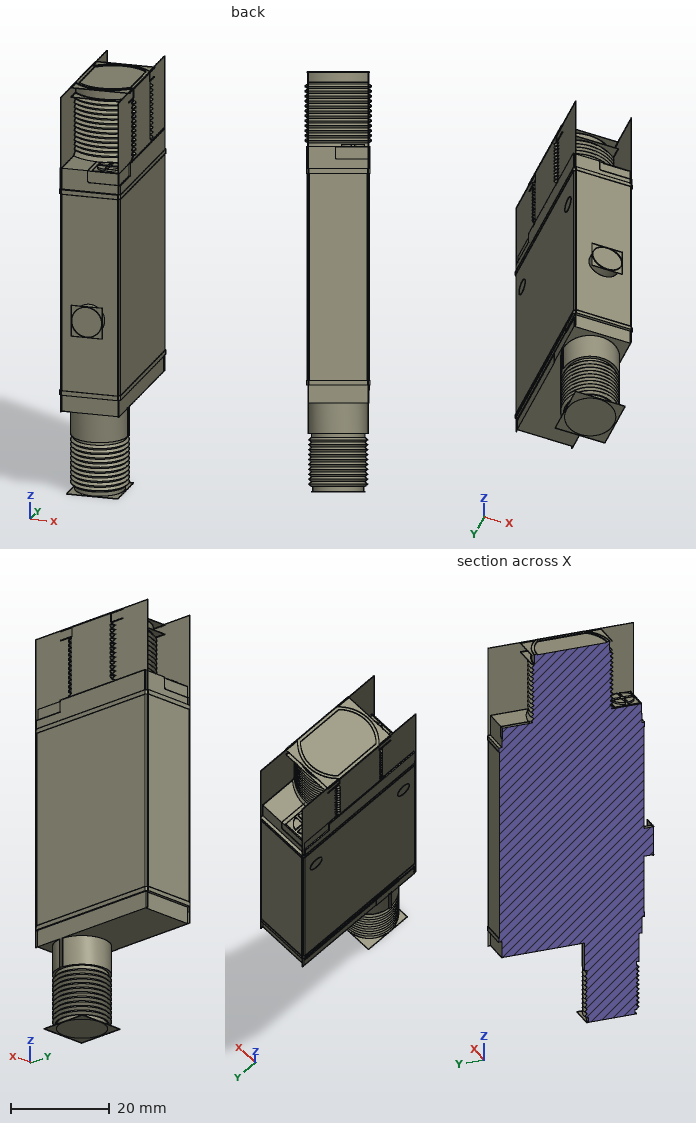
import cadquery as cq
import math


overall_width = 13.43
overall_height = 85.27

shell_width = 12.96
shell_back = 16.05
shell_front = -15.9
shell_bottom = 3.6
shell_top = 47.5
shell_edge_chamfer = 0.5
band_height = 0.95
band_relief = 0.1
upper_cap_top = 51.95
upper_cap_width = 12.84
cap_half_depth = 15.35
lower_cap_width = 12.3

sheet = 0.1
plate_outer_x = 6.15
plate_back = 15.93
plate_top = 67.21
top_flange_half_width = 6.3
flange_half_depth = 8.8

barrel_major_radius = 9.0
barrel_root_radius = 8.4
barrel_head_radius = 8.27
barrel_base_radius = 9.3
barrel_flat_x = 6.2
barrel_thread_start = 52.7
barrel_thread_end = 65.0
thread_pitch = 1.0
nub_outer_x = overall_width / 2
nub_inner_y = 5.75
lens_radius = 7.65
lens_half_width = 5.45
lens_recess = 0.2

notch_floor = 49.4
notch_inner_x = 0.6
notch_inner_y = 8.65
notch_corner_radius = 0.4
inlay_inset = 0.1
screw_x = 3.0
screw_y = 12.25
screw_radius = 2.35
screw_top = 52.35
screw_slot_width = 0.6
screw_slot_depth = 0.8
screw_hub_radius = 0.55
screw_seat_size = 5.5

button_radius = 3.2
button_height = 2.04
button_z = 20.4
button_frame_size = 6.6

window_radius = 1.65
window_y = 12.25
window_z = 39.7
window_depth = 0.1

panel_inner_y = -4.7
panel_top = 2.6
panel_depth = 0.1
rim_depth = 0.2
rim_front = -10.9

connector_y = -8.7
connector_radius = 6.0
connector_root_radius = 5.45
connector_thread_start = -6.25
connector_thread_end = -17.0
connector_neck_radius = 5.2
connector_end = plate_top - overall_height
connector_flange_size = 10.9
key_width = 0.8
key_height = 0.15


def block(x0, x1, y0, y1, z0, z1):
    """Box between two opposite corners."""
    return cq.Workplane("XY").box(x1 - x0, y1 - y0, z1 - z0, centered=False).translate((x0, y0, z0))


def cylinder(x, y, z0, z1, radius):
    """Upright cylinder between two heights."""
    return cq.Workplane("XY", origin=(x, y, z0)).circle(radius).extrude(z1 - z0)


def threaded_rod(y, z0, z1, root_radius, major_radius):
    """Rod along Z carrying one V-shaped ring per thread pitch."""
    ring_count = math.floor((z1 - z0) / thread_pitch)
    profile = cq.Workplane("XZ").moveTo(0, z0).lineTo(root_radius, z0)
    for ring in range(ring_count):
        ring_start = z0 + ring * thread_pitch
        profile = profile.lineTo(major_radius, ring_start + thread_pitch / 2)
        profile = profile.lineTo(root_radius, ring_start + thread_pitch)
    if ring_count * thread_pitch < z1 - z0:
        profile = profile.lineTo(root_radius, z1)
    rod = profile.lineTo(0, z1).close().revolve(360, (0, 0, 0), (0, 1, 0))
    return rod.translate((0, y, 0))


def make_housing():
    """Shell with a raised band at each end, closed by an upper and a lower cap."""
    half_width = shell_width / 2
    relieved = half_width - band_relief
    shell = block(
        -relieved, relieved, shell_front + band_relief, shell_back - band_relief, shell_bottom, shell_top
    ).edges("|Z").chamfer(shell_edge_chamfer)
    for band_z in (shell_bottom, shell_top - band_height):
        band = block(
            -half_width, half_width, shell_front, shell_back, band_z, band_z + band_height
        ).edges("|Z").chamfer(shell_edge_chamfer)
        shell = shell.union(band)
    cap_x = upper_cap_width / 2
    upper_cap = block(-cap_x, cap_x, -cap_half_depth, cap_half_depth, shell_top, upper_cap_top)
    lower_x = lower_cap_width / 2
    lower_cap = block(-lower_x, lower_x, -cap_half_depth, cap_half_depth, 0, shell_bottom)
    return shell.union(upper_cap).union(lower_cap)


def add_side_plates(body):
    """Thin plates running the full height on both sides of the barrel."""
    for x0 in (-plate_outer_x, plate_outer_x - sheet):
        plate = block(x0, x0 + sheet, shell_front, plate_back, 0, plate_top)
        body = body.union(plate)
    return body


def corner_block(outer_x, outer_inset, top):
    """Block filling the front right corner of the upper cap, rounded along its lower inner edge."""
    return block(
        -notch_inner_x, outer_x, outer_inset - cap_half_depth, -notch_inner_y, notch_floor, top
    ).edges("<X and <Z").fillet(notch_corner_radius)


def inlay_corners(body):
    """Inset filler blocks in two diagonally opposite corners: front right and back left."""
    notch = corner_block(upper_cap_width / 2, 0, upper_cap_top)
    inlay = corner_block(plate_outer_x, inlay_inset, upper_cap_top - inlay_inset)
    for angle in (0, 180):
        body = body.cut(notch.rotate((0, 0, 0), (0, 0, 1), angle))
        body = body.union(inlay.rotate((0, 0, 0), (0, 0, 1), angle))
    return body


def make_barrel():
    """Threaded lens barrel with two side flats, a conical base and a recessed lens."""
    core = threaded_rod(0, barrel_thread_start, barrel_thread_end, barrel_root_radius, barrel_major_radius)
    base = (
        cq.Workplane("XY", origin=(0, 0, upper_cap_top))
        .circle(barrel_base_radius)
        .workplane(offset=barrel_thread_start - upper_cap_top)
        .circle(barrel_root_radius)
        .loft()
    )
    head = cylinder(0, 0, barrel_thread_end, plate_top, barrel_head_radius)
    flats = block(-barrel_flat_x, barrel_flat_x, -shell_back, shell_back, upper_cap_top, plate_top)
    barrel = core.union(base).union(head).intersect(flats)

    for side in (-1, 1):
        for end in (-1, 1):
            x_range = sorted((side * plate_outer_x, side * nub_outer_x))
            y_range = sorted((end * nub_inner_y, end * barrel_major_radius))
            corner = block(*x_range, *y_range, barrel_thread_start, barrel_thread_end)
            barrel = barrel.union(core.intersect(corner))

    for half_width, z0 in (
        (barrel_flat_x, barrel_thread_end),
        (top_flange_half_width, plate_top - 2 * sheet),
    ):
        flange = block(-half_width, half_width, -flange_half_depth, flange_half_depth, z0, z0 + sheet)
        barrel = barrel.union(flange)

    lens_z = plate_top - lens_recess
    lens = cylinder(0, 0, lens_z, plate_top, lens_radius)
    lens = lens.intersect(
        block(-lens_half_width, lens_half_width, -lens_radius, lens_radius, lens_z, plate_top)
    )
    return barrel.cut(lens)


def make_screw(x, y):
    """Cross-slotted screw on a square seat."""
    half_seat = screw_seat_size / 2
    seat_z = upper_cap_top
    seat = block(x - half_seat, x + half_seat, y - half_seat, y + half_seat, notch_floor, seat_z)
    head = cylinder(x, y, notch_floor, screw_top, screw_radius)
    slot_z = screw_top - screw_slot_depth
    for length, width in (
        (2 * screw_radius, screw_slot_width),
        (screw_slot_width, 2 * screw_radius),
    ):
        slot = block(
            x - length / 2, x + length / 2, y - width / 2, y + width / 2, slot_z, screw_top
        )
        head = head.cut(slot)
    hub = cylinder(x, y, notch_floor, screw_top, screw_hub_radius)
    return seat.union(head).union(hub)


def add_button(body):
    """Round button carrying a thin square sheet just behind its outer end."""
    half_frame = button_frame_size / 2
    button_end = shell_front - button_height
    frame = block(
        -half_frame, half_frame, button_end + sheet, button_end + 2 * sheet,
        button_z - half_frame, button_z + half_frame,
    )
    button = (
        cq.Workplane("XZ", origin=(0, shell_front + 2 * band_relief, button_z))
        .circle(button_radius)
        .extrude(button_height + 2 * band_relief)
    )
    return body.union(button).union(frame)


def cut_windows(body):
    """Two shallow round indicator windows."""
    face_x = band_relief - shell_width / 2
    for y in (-window_y, window_y):
        window = (
            cq.Workplane("YZ", origin=(face_x, y, window_z)).circle(window_radius).extrude(window_depth)
        )
        body = body.cut(window)
    return body


def add_cap_panel(body):
    """Raised panel beside the connector and raised rim above it, on the left face of the lower cap."""
    face_x = -plate_outer_x
    panel = block(face_x - panel_depth, face_x, -cap_half_depth, panel_inner_y, 0, panel_top)
    rim = block(face_x - rim_depth, face_x, rim_front, cap_half_depth, panel_top, shell_bottom)
    return body.union(panel).union(rim)


def make_connector():
    """Threaded connector with two side keys and a thin square end sheet."""
    shank = cylinder(0, connector_y, connector_thread_start, shell_bottom, connector_radius)
    half_key = key_width / 2
    key_x = connector_radius + key_height
    keys = block(
        -key_x, key_x, connector_y - half_key, connector_y + half_key, connector_thread_start, 0
    )
    shank = shank.union(keys)
    thread = threaded_rod(
        connector_y, connector_thread_end, connector_thread_start, connector_root_radius, connector_radius
    )
    neck = cylinder(0, connector_y, connector_end, connector_thread_end, connector_neck_radius)
    half_flange = connector_flange_size / 2
    flange = block(
        -half_flange, half_flange, connector_y - half_flange, connector_y + half_flange,
        connector_end, connector_end + sheet,
    )
    return shank.union(thread).union(neck).union(flange)


body = inlay_corners(make_housing())
body = add_side_plates(body)
body = body.union(make_barrel())
body = body.union(make_screw(screw_x, -screw_y)).union(make_screw(-screw_x, screw_y))
body = add_button(body)
body = cut_windows(body)
body = add_cap_panel(body)
result = body.union(make_connector())